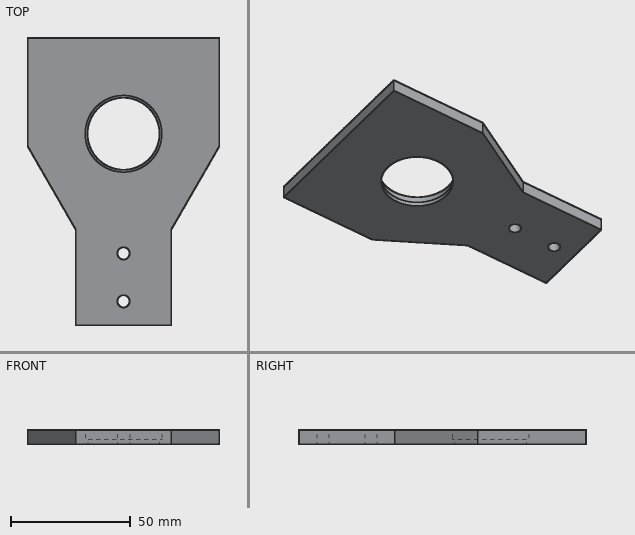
import cadquery as cq
import math

length = 120.0
head_width = 80.0
thickness = 6.0
neck_width = head_width / 2
neck_length = length / 3
taper_angle = 60.0

bore_diameter = 30.0
counterbore_diameter = 32.0
counterbore_depth = 4.0
bore_y = length - head_width / 2

mount_hole_diameter = 5.0
mount_hole_positions = (length / 12, length / 4)


def plate():
    """Wide head tapering to a narrow neck, with the neck end on Y = 0."""
    half_head = head_width / 2
    half_neck = neck_width / 2
    taper_length = (half_head - half_neck) * math.tan(math.radians(taper_angle))
    shoulder_y = neck_length + taper_length
    right_half = [
        (half_neck, 0),
        (half_neck, neck_length),
        (half_head, shoulder_y),
        (half_head, length),
    ]
    left_half = [(-x, y) for x, y in reversed(right_half)]
    return cq.Workplane("XY").polyline(right_half + left_half).close().extrude(thickness)


def cut_stepped_bore(body):
    """Through bore, counterbored from the top face to leave a thin ledge."""
    return (
        body.faces(">Z")
        .workplane(origin=(0, bore_y, thickness))
        .cboreHole(bore_diameter, counterbore_diameter, counterbore_depth)
    )


def cut_mount_holes(body):
    """Row of through holes on the centre line of the neck."""
    return (
        body.faces(">Z")
        .workplane(origin=(0, 0, thickness))
        .pushPoints([(0, y) for y in mount_hole_positions])
        .hole(mount_hole_diameter)
    )


result = cut_mount_holes(cut_stepped_bore(plate()))